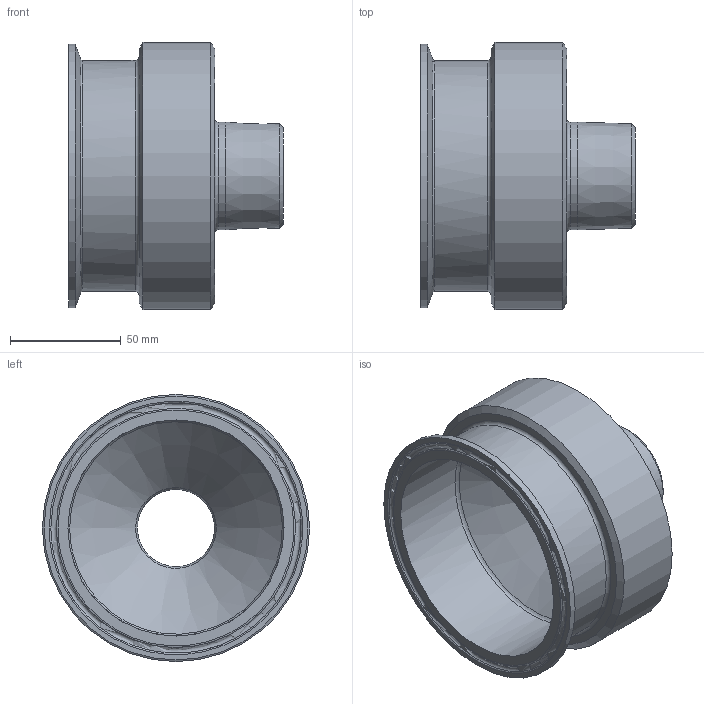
import cadquery as cq
import math

length = 96.85
ferrule_rim_width = 3.0
body_start = 31.75
body_end = 65.9
stub_taper_start = 70.6

ferrule_diameter = 118.92
neck_diameter = 104.14
body_diameter = 120.4
stub_diameter = 48.55
pipe_thread_taper = 1 / 32

ferrule_back_angle = math.radians(20)
ferrule_fillet = 0.8
neck_fillet = 1.5
body_chamfer_width = 1.8
body_chamfer_angle = math.radians(60)
body_chamfer_depth = body_chamfer_width * math.tan(body_chamfer_angle)
stub_fillet = 1.5
stub_chamfer = 1.75

wide_bore_diameter = 97.38
narrow_bore_diameter = 34.8
cone_start = 35.7
cone_half_angle = math.radians(45)
cone_blend_radius = 2.7

groove_center_diameter = 110.3
groove_width = 2.8
groove_depth = 1.2
groove_lip_fillet = 0.8

match_tolerance = 0.01


def revolve_about_x(outline):
    """Full revolution of a closed outline about the X axis."""
    return outline.revolve(360, (0, 0, 0), (1, 0, 0))


def circle_edge(shape, x, diameter):
    """Circular edge of the given diameter lying in the plane at x."""
    circles = shape.edges("%CIRCLE")
    return circles.filter(
        lambda edge: abs(edge.Center().x - x) < match_tolerance
        and abs(edge.radius() - diameter / 2) < match_tolerance
    )


def make_outside():
    """Solid of revolution: ferrule, neck, body and tapered pipe stub."""
    ferrule_radius = ferrule_diameter / 2
    neck_radius = neck_diameter / 2
    body_radius = body_diameter / 2
    stub_radius = stub_diameter / 2
    neck_start = ferrule_rim_width + (ferrule_radius - neck_radius) * math.tan(ferrule_back_angle)
    stub_end_radius = stub_radius - (length - stub_taper_start) * pipe_thread_taper
    outline = (
        cq.Workplane("XY")
        .polyline([
            (0, 0),
            (0, ferrule_radius),
            (ferrule_rim_width, ferrule_radius),
            (neck_start, neck_radius),
            (body_start, neck_radius),
            (body_start, body_radius - body_chamfer_depth),
            (body_start + body_chamfer_width, body_radius),
            (body_end - body_chamfer_width, body_radius),
            (body_end, body_radius - body_chamfer_depth),
            (body_end, stub_radius),
            (stub_taper_start, stub_radius),
            (length, stub_end_radius),
            (length, 0),
        ])
        .close()
    )
    solid = revolve_about_x(outline)
    solid = circle_edge(solid, neck_start, neck_diameter).fillet(ferrule_fillet)
    solid = circle_edge(solid, body_start, neck_diameter).fillet(neck_fillet)
    solid = circle_edge(solid, body_end, stub_diameter).fillet(stub_fillet)
    return circle_edge(solid, length, 2 * stub_end_radius).chamfer(stub_chamfer)


def make_bore():
    """Through bore: a wide cylinder narrowed by a cone with blended ends."""
    wide_radius = wide_bore_diameter / 2
    narrow_radius = narrow_bore_diameter / 2
    cone_end = cone_start + (wide_radius - narrow_radius) / math.tan(cone_half_angle)
    outline = (
        cq.Workplane("XY")
        .polyline([
            (0, 0),
            (0, wide_radius),
            (cone_start, wide_radius),
            (cone_end, narrow_radius),
            (length, narrow_radius),
            (length, 0),
        ])
        .close()
    )
    bore = revolve_about_x(outline)
    bore = circle_edge(bore, cone_start, wide_bore_diameter).fillet(cone_blend_radius)
    return circle_edge(bore, cone_end, narrow_bore_diameter).fillet(cone_blend_radius)


def cut_gasket_groove(solid):
    """Round-bottomed ring groove in the ferrule face, with rounded lips."""
    center = groove_center_diameter / 2
    inner = center - groove_width / 2
    outer = center + groove_width / 2
    outline = (
        cq.Workplane("XY")
        .moveTo(0, inner)
        .threePointArc((groove_depth, center), (0, outer))
        .close()
    )
    solid = solid.cut(revolve_about_x(outline))
    for radius in (inner, outer):
        solid = circle_edge(solid, 0, 2 * radius).fillet(groove_lip_fillet)
    return solid


result = cut_gasket_groove(make_outside().cut(make_bore()))